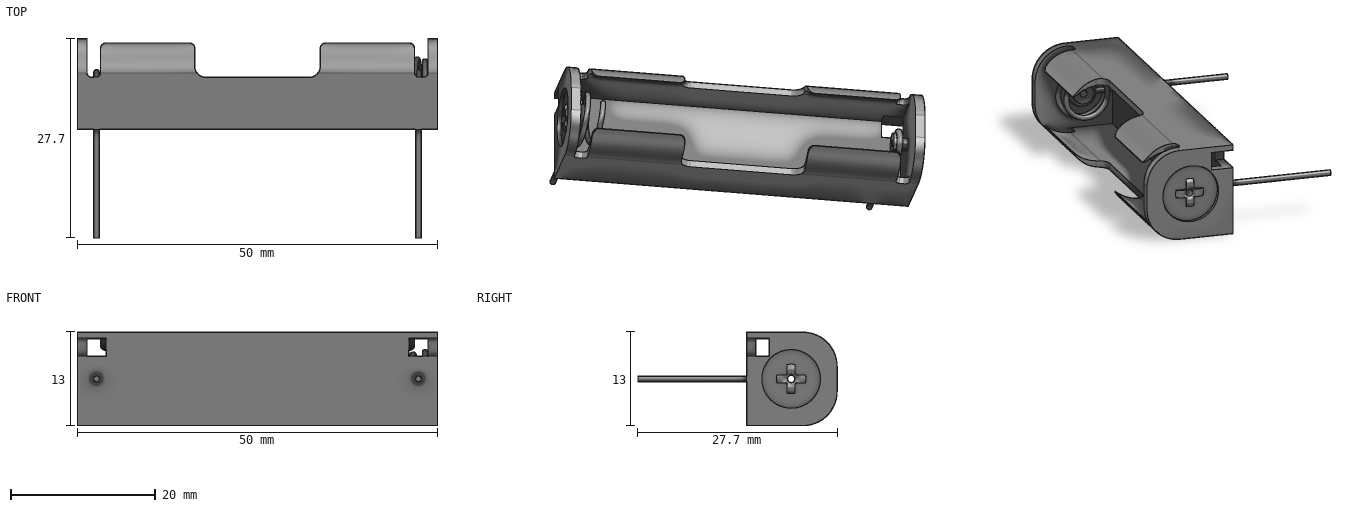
import cadquery as cq
import math


length = 50.0
height = 13.0
depth = 12.6
floor_thickness = 1.3
side_thickness = 0.95
end_thickness = 1.35
corner_radius = 4.8
cavity_half_height = height / 2 - side_thickness
cavity_round_y = 8.1
axis_y = 6.2

rim_y = 7.25
lip_start = 3.2
lip_length = 13.1
lip_top_y = 12.0
lip_corner_radius = 0.75
slot_corner_radius = 0.6
opening_corner_radius = 1.5

notch_length = 4.0
notch_depth = 3.15
notch_top = height / 2 - 0.8
notch_height = 2.55

recess_diameter = 8.15
recess_depth = 0.55
rivet_bore = 1.0
rivet_diameter = 1.75
rivet_hole_diameter = 1.8
rivet_tip_diameter = 4.1
petal_width = 1.1
petal_height = 0.4
flange_diameter = 3.0
flange_thickness = 0.4

lead_diameter = 0.8
lead_hole_diameter = 0.85
lead_length = 15.1
lead_inset = 2.65
eye_radius = 1.7

spring_wire_diameter = 0.7
spring_seat_radius = 3.75
spring_taper = 0.45
spring_gap = 0.05
spring_start_turn = 0.08
spring_turns = 2.0
spring_pitch = 2.2
spring_flat_turns = 0.5
spring_points_per_turn = 16

end_x = length / 2
overcut = 2.5


def box(x_range, y_range, z_range):
    """Axis-aligned box between the given limits."""
    size = [high - low for low, high in (x_range, y_range, z_range)]
    corner = (x_range[0], y_range[0], z_range[0])
    return cq.Workplane("XY").box(*size, centered=False).translate(corner)


def rod_x(diameter, x_start, x_end):
    """Cylinder along X on the rivet axis."""
    plane = cq.Workplane("YZ", origin=(x_start, axis_y, 0))
    return plane.circle(diameter / 2).extrude(x_end - x_start)


def both_ends(left_shape):
    """The shape at the -X end and its mirror image at the +X end."""
    return [left_shape, left_shape.mirror("YZ")]


def make_shell():
    """Outer block rounded towards +Y, hollowed by a cavity with a rounded +Y side."""
    block = box((-end_x, end_x), (0, depth), (-height / 2, height / 2))
    block = block.edges("|X and >Y").fillet(corner_radius)
    cavity_end = end_x - end_thickness
    cavity = (
        cq.Workplane("YZ", origin=(-cavity_end, 0, 0))
        .moveTo(floor_thickness, -cavity_half_height)
        .lineTo(cavity_round_y, -cavity_half_height)
        .threePointArc((cavity_round_y + cavity_half_height, 0), (cavity_round_y, cavity_half_height))
        .lineTo(floor_thickness, cavity_half_height)
        .close()
        .extrude(2 * cavity_end)
    )
    return block.cut(cavity)


def cut_lips(housing):
    """Trim the rounded side walls to four lips by end slots and a wide middle opening."""
    z_range = (-height, height)
    top_y = depth + overcut
    lip_end = lip_start + lip_length
    cavity_end = end_x - end_thickness

    lip = box((lip_start - end_x, lip_end - end_x), (0, lip_top_y), z_range)
    lip = lip.edges("|Z and >Y").fillet(lip_corner_radius)
    waste_y = rim_y + opening_corner_radius
    waste = box((-cavity_end, cavity_end), (waste_y, top_y), z_range)
    for lip_blank in both_ends(lip):
        waste = waste.cut(lip_blank)
    housing = housing.cut(waste)

    slot = box((-cavity_end, lip_start - end_x), (rim_y, top_y), z_range)
    slot = slot.edges("|Z and <Y").fillet(slot_corner_radius)
    for end_slot in both_ends(slot):
        housing = housing.cut(end_slot)

    middle_end = end_x - lip_end
    opening = box((-middle_end, middle_end), (rim_y, top_y), z_range)
    opening = opening.edges("|Z and <Y").fillet(opening_corner_radius)
    return housing.cut(opening)


def cut_end_features(housing):
    """Corner notch, rivet recess, rivet hole and lead hole at each end."""
    notch = box(
        (-end_x, notch_length - end_x),
        (0, notch_depth),
        (notch_top - notch_height, notch_top),
    )
    recess = rod_x(recess_diameter, -end_x, recess_depth - end_x)
    rivet_hole = rod_x(rivet_hole_diameter, -end_x, end_thickness - end_x)
    lead_hole = (
        cq.Workplane("XZ", origin=(lead_inset - end_x, 0, 0))
        .circle(lead_hole_diameter / 2)
        .extrude(-floor_thickness)
    )
    for feature in (notch, recess, rivet_hole, lead_hole):
        for cutter in both_ends(feature):
            housing = housing.cut(cutter)
    return housing


def make_housing():
    """Complete plastic housing."""
    return cut_end_features(cut_lips(make_shell()))


def make_rivet():
    """Hollow rivet of the -X end: inner flange, barrel and four arched petals bent outwards."""
    seat_x = recess_depth - end_x
    flange_x = lead_inset + lead_diameter / 2 - end_x
    rivet_end_x = flange_x + flange_thickness
    bore_r = rivet_bore / 2
    barrel_r = rivet_diameter / 2
    tip_r = rivet_tip_diameter / 2
    crest_r = (bore_r + tip_r) / 2
    section = (
        cq.Workplane("XY")
        .moveTo(rivet_end_x, bore_r)
        .lineTo(seat_x, bore_r)
        .threePointArc((seat_x - petal_height, crest_r), (seat_x, tip_r))
        .lineTo(seat_x, barrel_r)
        .lineTo(flange_x, barrel_r)
        .lineTo(flange_x, flange_diameter / 2)
        .lineTo(rivet_end_x, flange_diameter / 2)
        .close()
    )
    turned = section.revolve(360, (0, 0, 0), (1, 0, 0)).translate((0, axis_y, 0))

    petal_span_y = (axis_y - tip_r, axis_y + tip_r)
    half_width = petal_width / 2
    petal_x = (-end_x, seat_x)
    petal_side_y = (axis_y - half_width, axis_y + half_width)
    kept = rod_x(rivet_diameter, -end_x, rivet_end_x)
    kept = kept.union(rod_x(flange_diameter, flange_x, rivet_end_x))
    kept = kept.union(box(petal_x, petal_span_y, (-half_width, half_width)))
    kept = kept.union(box(petal_x, petal_side_y, (-tip_r, tip_r)))
    return turned.intersect(kept)


def make_lead():
    """Straight wire through the floor at the -X end, with a closed eye around the rivet."""
    lead_x = lead_inset - end_x
    eye_centre = cq.Vector(lead_x, axis_y, 0)
    eye = cq.Solid.makeTorus(eye_radius, lead_diameter / 2, eye_centre, cq.Vector(1, 0, 0))
    wire = (
        cq.Workplane("XZ", origin=(lead_x, -lead_length, 0))
        .circle(lead_diameter / 2)
        .extrude(-(lead_length + axis_y - eye_radius))
    )
    return wire.union(cq.Workplane(eye))


def make_spring():
    """Coil with one flat half turn against the +X end wall, then an even pitch."""
    seat_x = end_x - end_thickness - spring_gap - spring_wire_diameter / 2
    steps = round(spring_turns * spring_points_per_turn)
    points = []
    for step in range(steps + 1):
        turn = spring_start_turn + step / spring_points_per_turn
        angle = 2 * math.pi * turn
        free_turns = max(0, turn - spring_flat_turns)
        coil_radius = spring_seat_radius - spring_taper * free_turns
        point_x = seat_x - spring_pitch * free_turns
        point_y = axis_y + coil_radius * math.cos(angle)
        point_z = coil_radius * math.sin(angle)
        points.append((point_x, point_y, point_z))
    path = cq.Workplane("XY").spline(points)
    start = cq.Workplane(cq.Plane(points[0], normal=path.val().tangentAt(0)))
    return start.circle(spring_wire_diameter / 2).sweep(path, isFrenet=True)


housing = make_housing()
rivets = both_ends(make_rivet())
leads = both_ends(make_lead())
spring = make_spring()

result = cq.Compound.makeCompound(
    [
        housing.val(),
        *[rivet.val() for rivet in rivets],
        *[lead.val() for lead in leads],
        spring.val(),
    ]
)